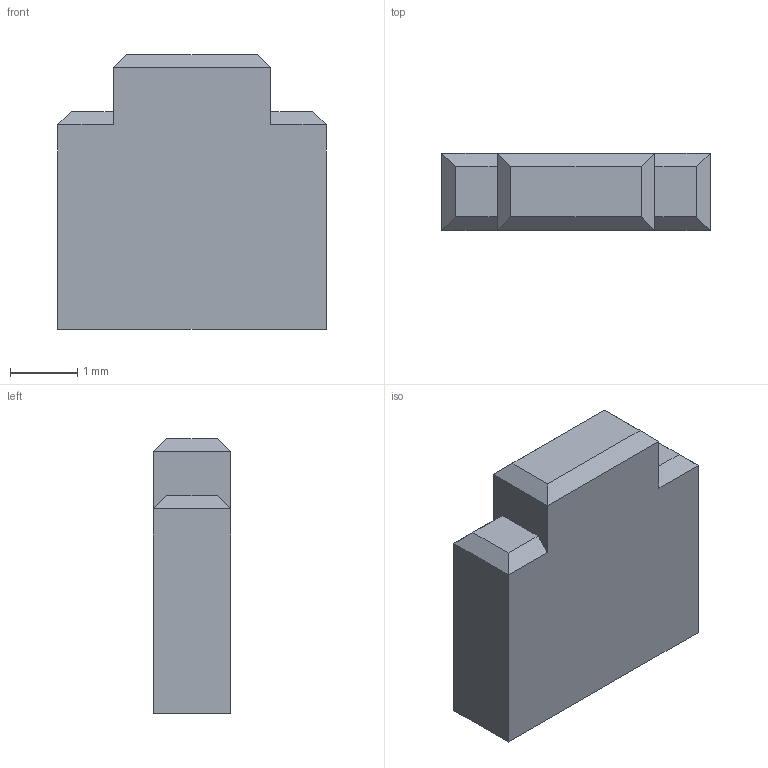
import cadquery as cq

body_width = 4.0
thickness = 1.15
shoulder_height = 3.25
tongue_width = 2.35
total_height = 4.1
chamfer_size = 0.2


def chamfered_block(width, height):
    """Block standing on Z = 0, centred in X and Y, with its four top edges chamfered."""
    block = cq.Workplane("XY").box(width, thickness, height, centered=(True, True, False))
    return block.faces(">Z").edges().chamfer(chamfer_size)


body = chamfered_block(body_width, shoulder_height)
tongue = chamfered_block(tongue_width, total_height)

result = body.union(tongue).clean()